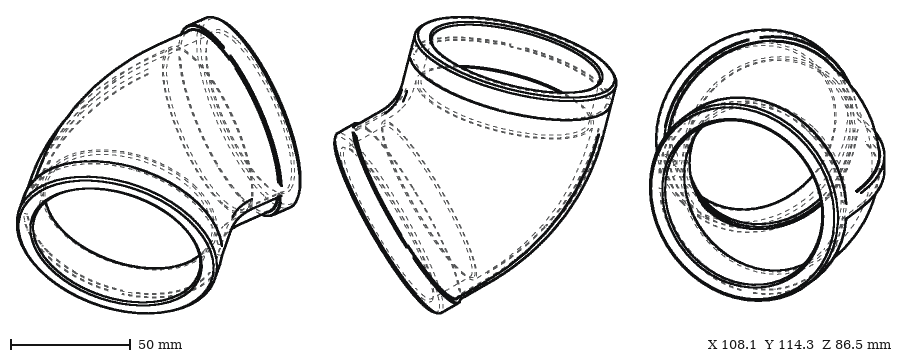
import cadquery as cq
import math

bend_angle = 45.0
leg_length = 49.5
straight_length = 23.9
bend_radius = (leg_length - straight_length) / math.tan(math.radians(bend_angle / 2))

collar_diameter = 86.5
collar_length = 9.9
collar_chamfer = 1.1
body_diameter = 82.3
rib_width = 7.0
step_fillet = 0.29
step_height = (collar_diameter - body_diameter) / 2

socket_diameter = 72.2
socket_depth = 20.6
socket_chamfer = 0.9
cavity_diameter = 76.1

turn = math.radians(bend_angle)
inlet_plane = cq.Plane(origin=(0, -leg_length, 0), xDir=(1, 0, 0), normal=(0, 1, 0))
outlet_plane = cq.Plane(
    origin=(leg_length * math.sin(turn), leg_length * math.cos(turn), 0),
    xDir=(math.cos(turn), -math.sin(turn), 0),
    normal=(-math.sin(turn), -math.cos(turn), 0),
)
end_planes = (inlet_plane, outlet_plane)


def straight_rod(plane, diameter, length):
    """Round rod running inward from one end face."""
    return cq.Workplane(plane).circle(diameter / 2).extrude(length)


def bent_rod(diameter, end_gap=0.0):
    """Round rod along the elbow axis, stopping end_gap short of each end face."""
    bend_start = cq.Workplane(inlet_plane).workplane(offset=straight_length)
    rod = bend_start.circle(diameter / 2).revolve(bend_angle, (bend_radius, 0, 0), (bend_radius, 1, 0))
    for plane in end_planes:
        leg = cq.Workplane(plane).workplane(offset=end_gap)
        rod = rod.union(leg.circle(diameter / 2).extrude(straight_length - end_gap))
    return rod


def is_end_face(face):
    """True for a face lying on one of the two end planes."""
    return any(abs(plane.toLocalCoords(face.Center()).z) < collar_length / 2 for plane in end_planes)


def round_steps(solid):
    """Round the long edges of every collar and rib wall; the short corner edges stay sharp."""
    walls = [face for face in solid.faces("%PLANE").vals() if not is_end_face(face)]
    edges = [edge for wall in walls for edge in wall.Edges() if edge.Length() > 2 * step_height]
    return solid.newObject(edges).fillet(step_fillet)


def outer_shape():
    """Bent body with a collar at each end and two flush ribs along the plane of the bend."""
    slab_size = 4 * leg_length
    rib_slab = cq.Workplane("XY").box(slab_size, slab_size, rib_width)
    sunken_skin = bent_rod(collar_diameter, collar_length).cut(bent_rod(body_diameter)).cut(rib_slab)
    shape = bent_rod(collar_diameter).cut(sunken_skin).clean()
    shape = round_steps(shape)
    for plane in end_planes:
        end_face = cq.selectors.NearestToPointSelector(plane.origin.toTuple())
        shape = shape.faces(end_face).chamfer(collar_chamfer)
    return shape


def socket(plane):
    """Bore running inward from one end face, countersunk at both of its ends."""
    bore = straight_rod(plane, socket_diameter, socket_depth)
    inner_plane = plane.rotated((180, 0, 0))
    inner_plane.origin = plane.toWorldCoords((0, 0, socket_depth))
    for rim in (plane, inner_plane):
        countersink = cq.Solid.makeCone(
            socket_diameter / 2 + socket_chamfer, socket_diameter / 2, socket_chamfer, rim.origin, rim.zDir
        )
        bore = bore.union(cq.Workplane(countersink))
    return bore


result = outer_shape().cut(bent_rod(cavity_diameter, socket_depth))
for end_plane in end_planes:
    result = result.cut(socket(end_plane))